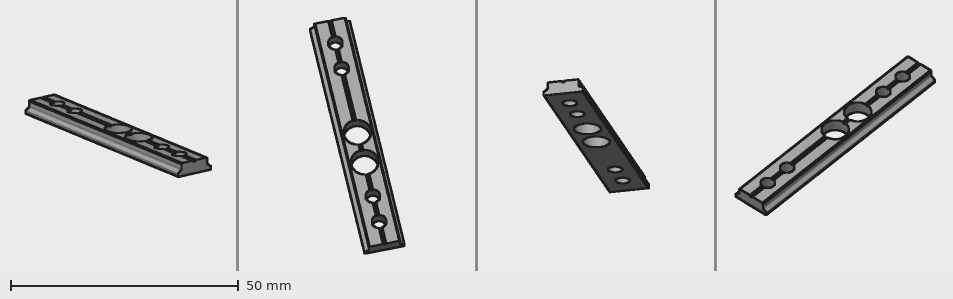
import cadquery as cq

length = 56.0
base_width = 9.0
height = 3.0

top_width = 7.05
lip_height = 0.8
shoulder_height = 1.5
lip_fillet = 0.1
top_chamfer = 0.2
base_chamfer = 0.15

groove_width = 0.8
groove_depth = 0.3
groove_floor = 0.3

small_diameter = 3.2
small_inner_offset = 16.0
small_outer_offset = 22.4
large_diameter = 6.0
large_positions = [0.0, 7.5]
small_positions = [
    -small_outer_offset,
    -small_inner_offset,
    small_inner_offset,
    small_outer_offset,
]


def make_rail():
    """Extrude the symmetric lipped and grooved section along X."""
    half_base = base_width / 2
    half_top = top_width / 2
    right_side = [
        (half_base - base_chamfer, 0),
        (half_base, base_chamfer),
        (half_base, lip_height),
        (half_top, shoulder_height),
        (half_top, height - top_chamfer),
        (half_top - top_chamfer, height),
        (groove_width / 2, height),
        (groove_floor / 2, height - groove_depth),
    ]
    left_side = [(-y, z) for y, z in reversed(right_side)]
    outline = right_side + left_side
    section = cq.Workplane("YZ", origin=(-length / 2, 0, 0)).polyline(outline).close()
    rail = section.extrude(length)
    lip_corners = [
        (side * y, z)
        for side in (-1, 1)
        for y, z in [(half_base, lip_height), (half_top, shoulder_height)]
    ]
    for y, z in lip_corners:
        edge = rail.edges(cq.selectors.NearestToPointSelector((0, y, z)))
        rail = edge.fillet(lip_fillet)
    return rail


def make_holes(positions, diameter):
    """Make full-height cylinders at the given X positions."""
    centres = [(x, 0) for x in positions]
    return cq.Workplane("XY").pushPoints(centres).circle(diameter / 2).extrude(height)


result = (
    make_rail()
    .cut(make_holes(small_positions, small_diameter))
    .cut(make_holes(large_positions, large_diameter))
)